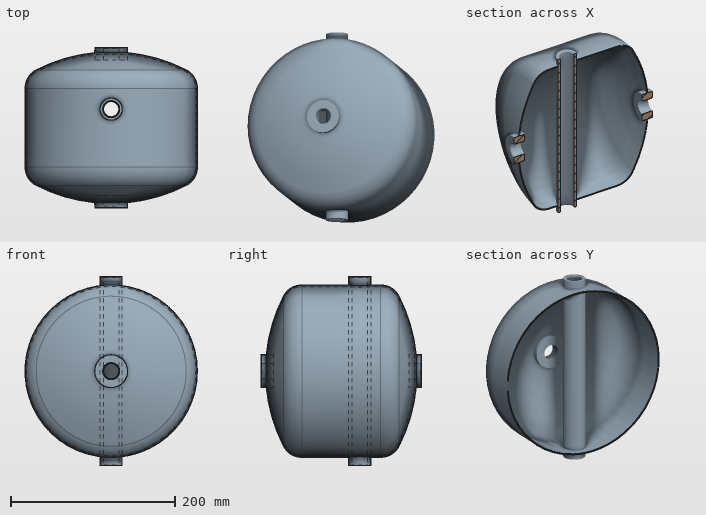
import cadquery as cq
import math

vessel_diameter = 210.0
inner_diameter = 206.0
straight_length = 96.0
crown_radius = 200.0
knuckle_radius = 25.0

boss_diameter = 40.0
boss_length = 15.0
length_over_bosses = 195.0

tube_diameter = 27.0
tube_length = 230.0
tube_offset_y = 22.5

bore_diameter = 18.6
bore_chamfer = 1.04

vessel_radius = vessel_diameter / 2
wall = (vessel_diameter - inner_diameter) / 2
half_straight = straight_length / 2

knuckle_center_r = vessel_radius - knuckle_radius
crown_center_y = half_straight - math.sqrt(
    (crown_radius - knuckle_radius) ** 2 - knuckle_center_r**2
)
tangent_angle = math.asin(knuckle_center_r / (crown_radius - knuckle_radius))


def crown_point(inset, angle):
    """Point (r, y) on the crown at an angle from the vessel axis."""
    radius = crown_radius - inset
    return radius * math.sin(angle), crown_center_y + radius * math.cos(angle)


def knuckle_point(inset, angle):
    """Point (r, y) on the knuckle at an angle from the vessel axis."""
    radius = knuckle_radius - inset
    return (
        knuckle_center_r + radius * math.sin(angle),
        half_straight + radius * math.cos(angle),
    )


def mirrored(point):
    """The matching point on the opposite head."""
    return point[0], -point[1]


def vessel_body(inset):
    """Solid of revolution lying a uniform inset inside the outer surface."""
    apex = crown_point(inset, 0)
    crown_middle = crown_point(inset, tangent_angle / 2)
    joint = crown_point(inset, tangent_angle)
    knuckle_middle = knuckle_point(inset, (tangent_angle + math.pi / 2) / 2)
    shoulder = knuckle_point(inset, math.pi / 2)
    return (
        cq.Workplane("XY")
        .moveTo(*apex)
        .threePointArc(crown_middle, joint)
        .threePointArc(knuckle_middle, shoulder)
        .lineTo(*mirrored(shoulder))
        .threePointArc(mirrored(knuckle_middle), mirrored(joint))
        .threePointArc(mirrored(crown_middle), mirrored(apex))
        .close()
        .revolve(360, (0, 0, 0), (0, 1, 0))
    )


def end_boss(side):
    """Solid boss set through the head on the given side of Y (+1 or -1)."""
    return (
        cq.Workplane("XZ", origin=(0, side * length_over_bosses / 2, 0))
        .circle(boss_diameter / 2)
        .extrude(side * boss_length)
    )


def boss_bore(side):
    """Bore through one end boss, with its outer edge chamfered."""
    outer_face = cq.Workplane("XZ", origin=(0, side * length_over_bosses / 2, 0))
    bore = outer_face.circle(bore_diameter / 2).extrude(side * boss_length)
    mouth = (0, side * length_over_bosses / 2, 0)
    return bore.union(chamfer_cone(mouth, (0, -side, 0)))


def chamfer_cone(mouth, inward):
    """45 degree cone that breaks the edge of a bore at its mouth."""
    cone = cq.Solid.makeCone(
        bore_diameter / 2 + bore_chamfer,
        bore_diameter / 2,
        bore_chamfer,
        cq.Vector(*mouth),
        cq.Vector(*inward),
    )
    return cq.Workplane(cone)


def tube_cylinder(diameter):
    """Cylinder on the tube axis, over the full tube length."""
    return (
        cq.Workplane("XY", origin=(0, tube_offset_y, -tube_length / 2))
        .circle(diameter / 2)
        .extrude(tube_length)
    )


result = vessel_body(0).cut(vessel_body(wall)).union(tube_cylinder(tube_diameter))
for side in (1, -1):
    result = result.union(end_boss(side))

result = result.cut(tube_cylinder(bore_diameter))
for side in (1, -1):
    tube_mouth = (0, tube_offset_y, side * tube_length / 2)
    result = result.cut(chamfer_cone(tube_mouth, (0, 0, -side)))
    result = result.cut(boss_bore(side))